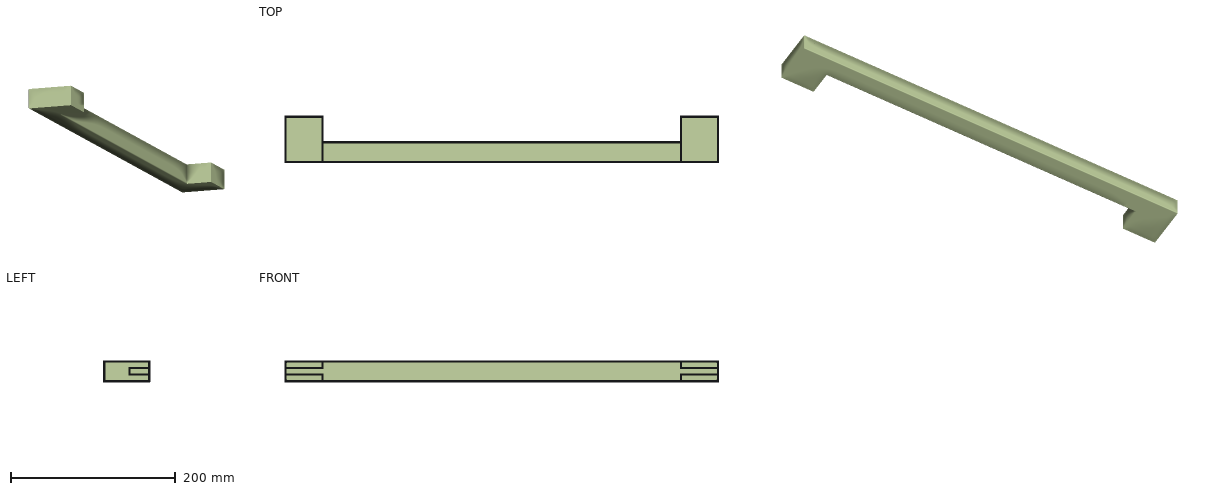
import cadquery as cq

length = 525.0
depth = 55.0
height = 24.0

bar_depth = height
tongue_height = 8.0

leg_width = 45.0

edge_radius = 1.0

leg_spacing = length - leg_width
bar_span = length - 2 * leg_width


def block(size_x, size_y, size_z):
    """Box centred on X and Z, with its front at Y = 0."""
    return cq.Workplane("XY").box(size_x, size_y, size_z, centered=(True, False, True))


def handle_envelope():
    """Outer block around the whole handle, rounded along the rim of its front face."""
    return block(length, depth, height).faces("<Y").edges().fillet(edge_radius)


def make_tongues():
    """One strip over the full length; it sticks out of the bar as a tongue at each end."""
    return block(length, bar_depth, tongue_height)


def make_bar():
    """Full-height middle with rounded back edges, joined to its tongues."""
    middle = block(bar_span, bar_depth, height)
    middle = middle.faces(">Y").edges("|X").fillet(edge_radius)
    return middle.union(make_tongues()).intersect(handle_envelope()).solids()


def make_leg(side):
    """Slotted block at one end; side is -1 for the -X end and 1 for the +X end."""
    blank = block(leg_width, depth, height).translate((side * leg_spacing / 2, 0, 0))
    return blank.intersect(handle_envelope()).cut(make_tongues()).solids()


bar = make_bar()
legs = [make_leg(side) for side in (-1, 1)]

result = cq.Compound.makeCompound([bar.val(), *[leg.val() for leg in legs]])